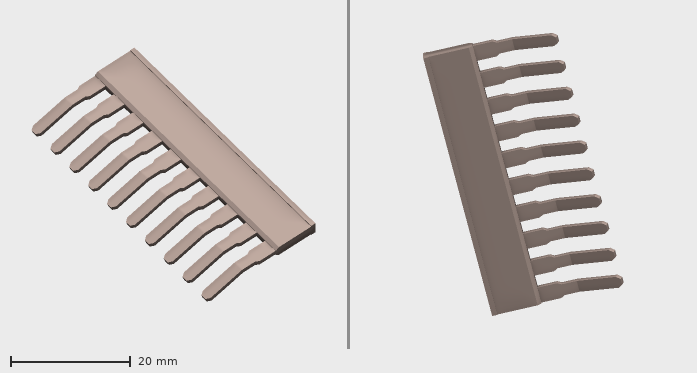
import cadquery as cq
import math


bar_length = 48
bar_depth = 8.5
bar_thickness = 2.05
nose_thickness = 1.15
bevel_depth = 0.65
lip_depth = 0.9
lip_thickness = 2.4

tine_count = 10
tine_thickness = 0.9
tine_reach = 22.85
root_width = 2.8
end_margin = 0.1
tine_pitch = (bar_length - 2 * end_margin - root_width) / (tine_count - 1)
blade_width = 2.0
tip_width = 1.05
shoulder_start = 11.9
shoulder_end = 12.6
tip_taper_length = 0.7

bend_start = 15.1
bend_angle = 17.5
bend_outer_radius = 1.1
bend_axis_z = tine_thickness / 2 - bend_outer_radius
leg_run = tine_reach - bend_start - bend_outer_radius * math.sin(math.radians(bend_angle))
leg_length = leg_run / math.cos(math.radians(bend_angle))


def make_bar():
    """Bar with a thicker lip along its back and a bevelled nose at its front."""
    upper_outline = [
        (0, lip_thickness / 2),
        (-lip_depth, lip_thickness / 2),
        (-lip_depth, bar_thickness / 2),
        (bevel_depth - bar_depth, bar_thickness / 2),
        (-bar_depth, nose_thickness / 2),
    ]
    lower_outline = [(y, -z) for y, z in reversed(upper_outline)]
    return (
        cq.Workplane("YZ")
        .polyline(upper_outline + lower_outline)
        .close()
        .extrude(bar_length / 2, both=True)
    )


def symmetric_plate(right_side):
    """Flat tine section, mirrored about X = 0 from the outline of its right side."""
    left_side = [(-x, y) for x, y in reversed(right_side)]
    return (
        cq.Workplane("XY")
        .polyline(right_side + left_side)
        .close()
        .extrude(tine_thickness / 2, both=True)
    )


def make_tine():
    """Tine with a wide root, narrowing shoulders, a bend and a tapered leg."""
    root = symmetric_plate([
        (root_width / 2, -bar_depth / 2),
        (root_width / 2, -shoulder_start),
        (blade_width / 2, -shoulder_end),
        (blade_width / 2, -bend_start),
    ])
    bend = (
        cq.Workplane("XZ", origin=(0, -bend_start, 0))
        .rect(blade_width, tine_thickness)
        .revolve(bend_angle, (-0.5, bend_axis_z), (0.5, bend_axis_z))
    )
    leg = symmetric_plate([
        (blade_width / 2, -bend_start),
        (blade_width / 2, tip_taper_length - bend_start - leg_length),
        (tip_width / 2, -bend_start - leg_length),
    ]).rotate((0, -bend_start, bend_axis_z), (1, -bend_start, bend_axis_z), bend_angle)
    return root.union(bend).union(leg)


tine = make_tine()
result = make_bar()
for index in range(tine_count):
    tine_x = (index - (tine_count - 1) / 2) * tine_pitch
    result = result.union(tine.translate((tine_x, 0, 0)))